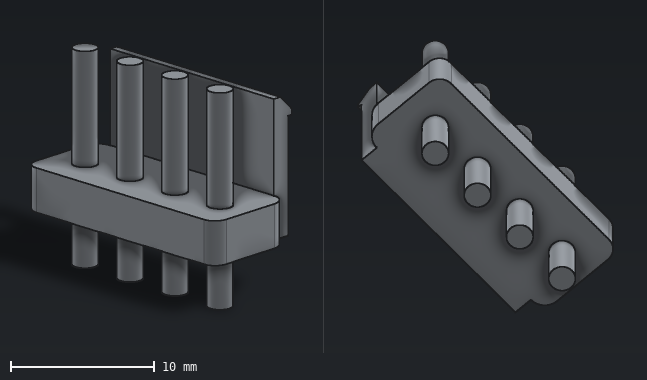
import cadquery as cq

base_length = 18.56
base_depth = 7.18
base_height = 3.29
front_corner_radius = 1.11
back_corner_radius = 1.3

pin_count = 4
pin_pitch = 4.38
pin_diameter = 1.85
pin_row_shift = 0.15
pin_y = 3.1
pin_length = 15.92
pin_below_base = 4.12

wall_length = base_length - 2 * back_corner_radius
wall_thickness = 1.45
wall_top = 10.38

hook_bottom = 8.8
hook_overhang = 0.33
hook_ramp_depth = 1.1
hook_ramp_height = 1.1


def make_base():
    block = cq.Workplane("XY").box(
        base_length, base_depth, base_height, centered=(True, False, False)
    )
    block = block.faces("<Y").edges("|Z").fillet(front_corner_radius)
    return block.edges("|Z and >Y").fillet(back_corner_radius)


def make_pins():
    first_x = pin_row_shift - (pin_count - 1) / 2 * pin_pitch
    centers = [(first_x + i * pin_pitch, pin_y) for i in range(pin_count)]
    return (
        cq.Workplane("XY")
        .workplane(offset=-pin_below_base)
        .pushPoints(centers)
        .circle(pin_diameter / 2)
        .extrude(pin_length)
    )


def make_latch():
    wall_back = base_depth + wall_thickness
    hook_back = wall_back + hook_overhang
    profile = [
        (base_depth, 0),
        (wall_back, 0),
        (wall_back, hook_bottom),
        (hook_back, hook_bottom),
        (hook_back, wall_top - hook_ramp_height),
        (hook_back - hook_ramp_depth, wall_top),
        (base_depth, wall_top),
    ]
    return cq.Workplane("YZ").polyline(profile).close().extrude(wall_length / 2, both=True)


result = make_base().union(make_pins()).union(make_latch())